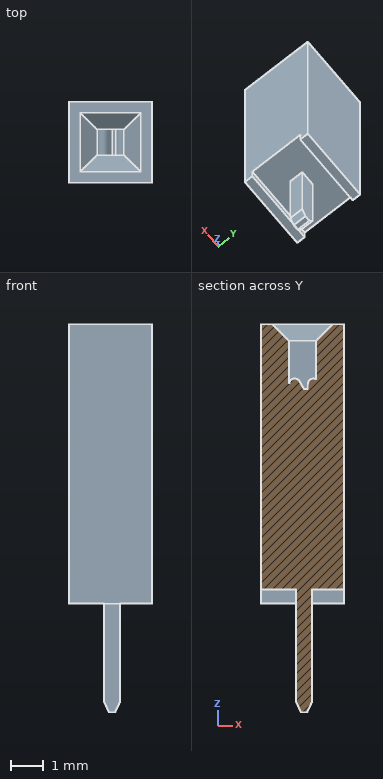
import cadquery as cq
import math


total_height = 11.88
housing_x = 2.54
housing_y = 2.48
pin_length = 3.33
foot_height = 0.43
foot_thickness = 0.3

rim = 0.35
hole_x = 0.82
hole_y = 0.78
funnel_depth = (housing_x - 2 * rim - hole_x) / 2

contact_x = 0.05
arm_offset = 0.29
arm_depth = 1.66
arm_lean = 60.0

pin_x = 0.5
pin_y = 0.46
pin_tip_x = 0.19
pin_taper = 0.33

housing_base = pin_length
foot_top = housing_base + foot_height


def box(size_x, size_y, bottom, top, centre_x=0.0):
    """Upright block centred on Y = 0."""
    block = cq.Workplane("XY").box(size_x, size_y, top - bottom, centered=(True, True, False))
    return block.translate((centre_x, 0, bottom))


def make_housing():
    body = box(housing_x, housing_y, housing_base, total_height)
    channel = box(housing_x, housing_y - 2 * foot_thickness, housing_base, foot_top)
    return body.cut(channel)


def make_funnel():
    return (
        cq.Workplane("XY", origin=(0, 0, total_height))
        .rect(housing_x - 2 * rim, housing_y - 2 * rim)
        .workplane(offset=-funnel_depth)
        .rect(hole_x, hole_y)
        .loft(ruled=True, combine=True)
    )


def make_hole():
    """Straight hole whose floor follows the rounded tops of the two contact arms."""
    wall = hole_x / 2
    left_arm = contact_x - arm_offset
    right_arm = contact_x + arm_offset
    radius = left_arm + wall
    centre_z = total_height - arm_depth - radius

    def arm_point(arm_x, degrees):
        """Point on an arm's rounded top, at an angle from vertical towards +X."""
        angle = math.radians(degrees)
        return (arm_x + radius * math.sin(angle), centre_z + radius * math.cos(angle))

    lean_x, lean_z = arm_point(left_arm, arm_lean)
    floor_z = lean_z - (contact_x - lean_x) * math.tan(math.radians(arm_lean))

    wall_angle = math.degrees(math.asin((wall - right_arm) / radius))
    mouth_z = total_height - funnel_depth
    profile = (
        cq.Workplane("XZ")
        .moveTo(-wall, mouth_z)
        .lineTo(*arm_point(left_arm, -90))
        .threePointArc(arm_point(left_arm, 0), (lean_x, lean_z))
        .lineTo(contact_x, floor_z)
        .lineTo(right_arm - radius, floor_z)
        .lineTo(*arm_point(right_arm, -90))
        .threePointArc(arm_point(right_arm, 0), arm_point(right_arm, wall_angle))
        .lineTo(wall, mouth_z)
        .close()
    )
    return profile.extrude(hole_y / 2, both=True)


def make_pin():
    half = pin_x / 2
    half_tip = pin_tip_x / 2
    profile = (
        cq.Workplane("XZ", origin=(contact_x, 0, 0))
        .polyline([
            (-half_tip, 0),
            (half_tip, 0),
            (half, pin_taper),
            (half, foot_top),
            (-half, foot_top),
            (-half, pin_taper),
        ])
        .close()
    )
    return profile.extrude(pin_y / 2, both=True)


result = make_housing().cut(make_funnel()).cut(make_hole()).union(make_pin())